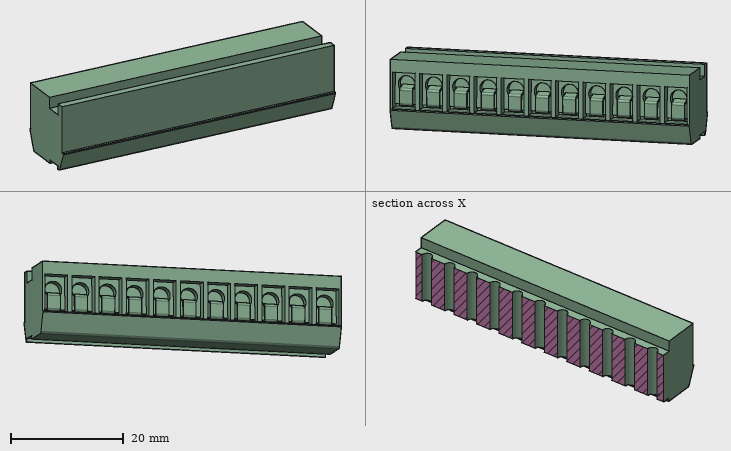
import cadquery as cq

length = 55.0
width = 12.4
height = 12.8
terminal_count = 11
pitch = length / terminal_count

front_wall = 0.15
rear_wall = 11.9
lip_top = 3.85
lip_bottom = 3.65
foot_inset = 1.45
foot_round = 0.5

screw_x = 8.85
channel_width = 3.2
channel_depth = 2.15
relief_width = 2.85
relief_depth = 0.65
screw_hole_diameter = 2.0

pocket_width = 4.2
pocket_top = 10.5
pocket_top_depth = 2.05
pocket_bottom_depth = 1.75
floor_front = 3.9
floor_height = 3.95
floor_break_depth = 0.8
undercut_top = 4.5
undercut_depth = 2.35

bore_diameter = 3.1
bore_height = 8.1
bore_depth = 1.45

clamp_width = 2.35
clamp_depth = 1.45
clamp_front_top = 7.3
clamp_back_top = 7.8
clamp_bottom = 4.2
clamp_round = 0.45
clamp_length = 2.0


def make_body():
    """Constant cross-section extruded along Y, its bottom edges rounded."""
    profile = [
        (front_wall, height),
        (front_wall, lip_top),
        (0, lip_top),
        (0, lip_bottom),
        (foot_inset, 0),
        (width - foot_inset, 0),
        (width, lip_bottom),
        (width, lip_top),
        (rear_wall, lip_top),
        (rear_wall, height),
    ]
    block = cq.Workplane("XZ").polyline(profile).close().extrude(-length)
    return block.faces("<Z").edges("|Y").fillet(foot_round)


def make_groove(groove_width, groove_depth, bottom):
    """Full-length rectangular groove centred on the screw row."""
    corner = (screw_x - groove_width / 2, 0, bottom)
    return cq.Workplane("XY").box(groove_width, length, groove_depth, centered=False).translate(corner)


def make_screw_hole(y):
    return cq.Workplane("XY").center(screw_x, y).circle(screw_hole_diameter / 2).extrude(height)


def extrude_across(profile, y, profile_width):
    """Extrude an XZ outline symmetrically about the plane at y."""
    start = cq.Workplane("XZ", origin=(0, y, 0))
    return start.polyline(profile).close().extrude(profile_width / 2, both=True)


def make_pocket(y):
    """Pocket with a slightly leaning back wall that is undercut above the floor."""
    profile = [
        (front_wall, pocket_top),
        (front_wall + pocket_top_depth, pocket_top),
        (front_wall + pocket_bottom_depth, undercut_top),
        (front_wall + undercut_depth, undercut_top),
        (front_wall + undercut_depth, floor_height),
        (front_wall + floor_break_depth, floor_height),
        (front_wall, floor_front),
    ]
    return extrude_across(profile, y, pocket_width)


def make_bore(y):
    lean = pocket_top_depth - pocket_bottom_depth
    wall_height = pocket_top - undercut_top
    wall_depth = pocket_bottom_depth + lean * (bore_height - undercut_top) / wall_height
    wall_point = cq.Vector(front_wall + wall_depth, y, bore_height)
    inward = cq.Vector(wall_height, 0, -lean)
    return cq.Workplane(cq.Solid.makeCylinder(bore_diameter / 2, bore_depth, wall_point, inward))


def make_clamp(y):
    """Bar with rounded front edges, its back just past the end of the bore."""
    clamp_front = front_wall + clamp_depth
    clamp_back = clamp_front + clamp_length
    profile = [
        (clamp_front, clamp_bottom),
        (clamp_front, clamp_front_top),
        (clamp_back, clamp_back_top),
        (clamp_back, clamp_bottom),
    ]
    return extrude_across(profile, y, clamp_width).edges("<X and |Y").fillet(clamp_round)


result = make_body()
result = result.cut(make_groove(channel_width, channel_depth, height - channel_depth))
result = result.cut(make_groove(relief_width, relief_depth, 0))

for index in range(terminal_count):
    terminal_y = (index + 0.5) * pitch
    result = result.cut(make_screw_hole(terminal_y))
    result = result.cut(make_pocket(terminal_y))
    result = result.cut(make_bore(terminal_y))
    result = result.union(make_clamp(terminal_y))